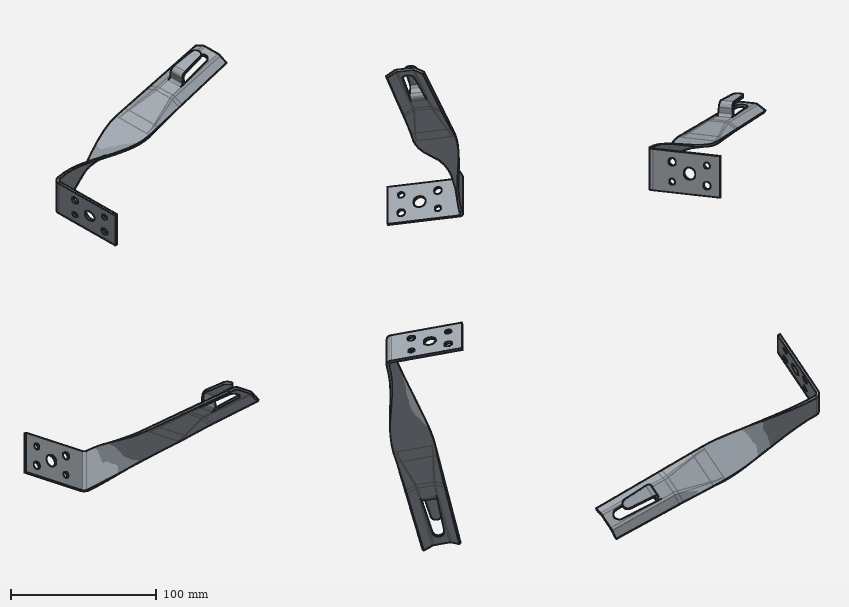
import cadquery as cq
import math

sheet = 1.9
inner_bend = 2.0
outer_bend = inner_bend + sheet
half_width = 14.7
length = 173.1
diagonal = math.sqrt(0.5)

plate_end_x = 53.0
hole_center_x = 30.3
hole_offset_x = 13.0
hole_offset_z = 7.1
center_hole_diameter = 8.7
large_hole_diameter = 5.5
small_hole_diameter = 4.5

twist_start_y = outer_bend
twist_end_y = 86.2
strip_top_z = 0.2

ridge_top_z = 4.5
ridge_height = ridge_top_z - strip_top_z
ramp_foot_y = 95.5
ramp_top_y = 119.6
level_start_y = 122.7
end_half_width = 13.5
flat_corner = 12.3
level_corner = 6.8
flat_fold = 0.2

tongue_root_y = 132.3
tongue_root_half_width = 5.5
tongue_gap = 0.3
slot_tip_half_width = 4.2
tongue_tip_half_width = slot_tip_half_width - tongue_gap
slot_end_y = 166.7
hook_top_z = 14.4
hook_tip_y = 159.5


def ridge_section(y, height):
    """Outline of the folded sheet at one place, its height counted from the outer edges."""
    along = (y - twist_end_y) / (length - twist_end_y)
    edge_x = half_width + (end_half_width - half_width) * along
    corner_x = flat_corner + (level_corner - flat_corner) * height / ridge_height
    slope = math.atan2(height, edge_x - corner_x)
    sin, cos = math.sin(slope), math.cos(slope)
    fold = max(outer_bend * math.tan(slope / 2), flat_fold)
    flat_x = corner_x - fold

    def fold_point(radius, angle):
        return (
            flat_x + radius * math.sin(angle),
            height - outer_bend + radius * math.cos(angle),
        )

    def mirrored(point):
        return (-point[0], point[1])

    def add_fold(outline, middle, end):
        if slope == 0:
            return outline.lineTo(*end)
        return outline.threePointArc(middle, end)

    top_flat = (flat_x, height)
    top_middle = fold_point(outer_bend, slope / 2)
    top_side = (corner_x + fold * cos, height - fold * sin)
    top_edge = (edge_x, 0)
    low_edge = (edge_x - sheet * sin, -sheet * cos)
    low_side = (top_side[0] - sheet * sin, top_side[1] - sheet * cos)
    low_middle = fold_point(inner_bend, slope / 2)
    low_flat = (flat_x, height - sheet)

    outline = cq.Workplane("XZ", origin=(0, y, strip_top_z)).moveTo(*mirrored(top_edge))
    outline = outline.lineTo(*mirrored(top_side))
    outline = add_fold(outline, mirrored(top_middle), mirrored(top_flat)).lineTo(*top_flat)
    outline = add_fold(outline, top_middle, top_side).lineTo(*top_edge).lineTo(*low_edge)
    outline = outline.lineTo(*low_side)
    outline = add_fold(outline, low_middle, low_flat).lineTo(*mirrored(low_flat))
    outline = add_fold(outline, mirrored(low_middle), mirrored(low_side))
    return outline.lineTo(*mirrored(low_edge)).close().val()


def span(stations, ruled):
    sections = [ridge_section(y, height) for y, height in stations]
    return cq.Workplane(cq.Solid.makeLoft(sections, ruled))


def ridge():
    """Curved foot, straight ramp, curved crest and level run."""
    foot_corner_y = (twist_end_y + ramp_foot_y) / 2
    crest_corner_y = (ramp_top_y + level_start_y) / 2
    grade = ridge_height / (crest_corner_y - foot_corner_y)
    foot_height = grade * (ramp_foot_y - foot_corner_y)
    top_drop = grade * (crest_corner_y - ramp_top_y)

    foot = span([(twist_end_y, 0), (foot_corner_y, foot_height / 4), (ramp_foot_y, foot_height)], False)
    ramp = span([(ramp_foot_y, foot_height), (ramp_top_y, ridge_height - top_drop)], True)
    crest = span(
        [
            (ramp_top_y, ridge_height - top_drop),
            (crest_corner_y, ridge_height - top_drop / 4),
            (level_start_y, ridge_height),
        ],
        False,
    )
    level = span([(level_start_y, ridge_height), (length, ridge_height)], True)
    return foot.union(ramp).union(crest).union(level)


def twist():
    """Quarter twist whose four long edges leave both ends along Y."""
    third = (twist_end_y - twist_start_y) / 3
    upright = [
        (-sheet / 2, -half_width),
        (-sheet / 2, half_width),
        (sheet / 2, half_width),
        (sheet / 2, -half_width),
    ]
    flat = [
        (-half_width, strip_top_z),
        (half_width, strip_top_z),
        (half_width, strip_top_z - sheet),
        (-half_width, strip_top_z - sheet),
    ]
    edges = []
    for (x0, z0), (x1, z1) in zip(upright, flat):
        controls = [
            cq.Vector(x0, twist_start_y, z0),
            cq.Vector(x0, twist_start_y + third, z0),
            cq.Vector(x1, twist_end_y - third, z1),
            cq.Vector(x1, twist_end_y, z1),
        ]
        edges.append(cq.Edge.makeBezier(controls))
    faces = [cq.Face.makeRuledSurface(edges[i - 1], edges[i]) for i in range(len(edges))]
    for corners, y in ((upright, twist_start_y), (flat, twist_end_y)):
        loop = [cq.Vector(x, y, z) for x, z in corners]
        faces.append(cq.Face.makeFromWires(cq.Wire.makePolygon(loop, close=True)))
    return cq.Workplane(cq.Solid.makeSolid(cq.Shell.makeShell(faces)))


def mounting_plate():
    """Upright plate with its bend into the twist, and five holes."""
    left = -sheet / 2
    bend_x = left + outer_bend
    plate = (
        cq.Workplane("XY", origin=(0, 0, -half_width))
        .moveTo(left, outer_bend)
        .threePointArc((bend_x - outer_bend * diagonal, outer_bend * (1 - diagonal)), (bend_x, 0))
        .lineTo(plate_end_x, 0)
        .lineTo(plate_end_x, sheet)
        .lineTo(bend_x, sheet)
        .threePointArc(
            (bend_x - inner_bend * diagonal, outer_bend - inner_bend * diagonal),
            (left + sheet, outer_bend),
        )
        .close()
        .extrude(2 * half_width)
    )
    holes = [(0, 0, center_hole_diameter)]
    for side in (-1, 1):
        holes.append((side * hole_offset_x, -side * hole_offset_z, large_hole_diameter))
        holes.append((side * hole_offset_x, side * hole_offset_z, small_hole_diameter))
    for x, z, diameter in holes:
        drill = (
            cq.Workplane("XZ", origin=(hole_center_x + x, 0, z))
            .circle(diameter / 2)
            .extrude(-sheet)
        )
        plate = plate.cut(drill)
    return plate


def tongue_outline(root_y, root_half_width, tip_y, tip_half_width):
    """Tapered outline with a rounded tip, seen from above."""
    round_y = tip_y - tip_half_width
    return (
        cq.Workplane("XY")
        .moveTo(-root_half_width, root_y)
        .lineTo(-tip_half_width, round_y)
        .threePointArc((0, tip_y), (tip_half_width, round_y))
        .lineTo(root_half_width, root_y)
        .close()
    )


def slot():
    outline = tongue_outline(tongue_root_y, tongue_root_half_width, slot_end_y, slot_tip_half_width)
    return outline.extrude(hook_top_z)


def hook():
    """Tongue bent upright at its root and back to level at the top."""
    leg_y = tongue_root_y + inner_bend
    bend_end_y = leg_y + outer_bend
    low_z = ridge_top_z + inner_bend
    high_z = hook_top_z - outer_bend
    side = (
        cq.Workplane("YZ", origin=(-tongue_root_half_width, 0, 0))
        .moveTo(tongue_root_y, ridge_top_z)
        .threePointArc(
            (tongue_root_y + inner_bend * diagonal, low_z - inner_bend * diagonal), (leg_y, low_z)
        )
        .lineTo(leg_y, high_z)
        .threePointArc(
            (bend_end_y - outer_bend * diagonal, high_z + outer_bend * diagonal),
            (bend_end_y, hook_top_z),
        )
        .lineTo(hook_tip_y, hook_top_z)
        .lineTo(hook_tip_y, hook_top_z - sheet)
        .lineTo(bend_end_y, hook_top_z - sheet)
        .threePointArc(
            (bend_end_y - inner_bend * diagonal, high_z + inner_bend * diagonal),
            (leg_y + sheet, high_z),
        )
        .lineTo(leg_y + sheet, low_z)
        .threePointArc(
            (tongue_root_y + outer_bend * diagonal, low_z - outer_bend * diagonal),
            (tongue_root_y, ridge_top_z - sheet),
        )
        .close()
        .extrude(2 * tongue_root_half_width)
    )
    mean_bend = inner_bend + sheet / 2
    bent_length = math.pi * mean_bend + high_z - low_z
    tip_length = hook_tip_y - tongue_tip_half_width - bend_end_y
    taper = (tongue_root_half_width - tongue_tip_half_width) / (bent_length + tip_length)
    top_half_width = tongue_root_half_width - taper * bent_length
    top_outline = tongue_outline(bend_end_y, top_half_width, hook_tip_y, tongue_tip_half_width)
    leg_room = (
        cq.Workplane("XY", origin=(0, tongue_root_y, 0))
        .box(2 * half_width, bend_end_y - tongue_root_y, hook_top_z, centered=(True, False, False))
    )
    from_above = top_outline.extrude(hook_top_z).union(leg_room)
    from_end = (
        cq.Workplane("XZ")
        .polyline(
            [
                (-tongue_root_half_width, 0),
                (-tongue_root_half_width, ridge_top_z),
                (-top_half_width, hook_top_z),
                (top_half_width, hook_top_z),
                (tongue_root_half_width, ridge_top_z),
                (tongue_root_half_width, 0),
            ]
        )
        .close()
        .extrude(-length)
    )
    return side.intersect(from_above).intersect(from_end)


result = mounting_plate().union(twist()).union(ridge().cut(slot())).union(hook())